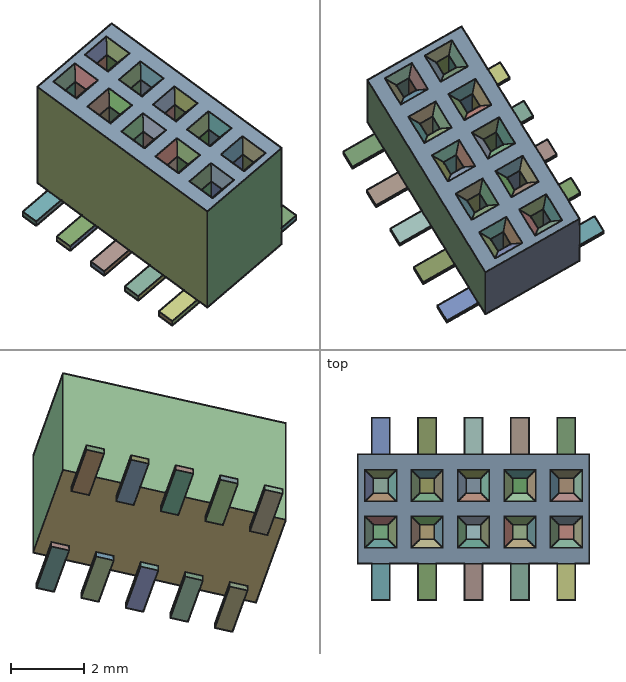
import cadquery as cq


housing_length = 6.35
housing_width = 3.0
overall_height = 4.5

columns = 5
rows = 2
pitch = 1.27

socket_mouth = 0.865
socket_hole = 0.4
funnel_depth = 0.4
hole_depth = 2.54

lead_span = 5.0
lead_length = 1.5
lead_width = 0.5
lead_thickness = 0.205


def build_housing():
    """Plain block standing on top of the leads."""
    return (
        cq.Workplane("XY")
        .workplane(offset=lead_thickness)
        .rect(housing_length, housing_width)
        .extrude(overall_height - lead_thickness)
    )


def build_sockets():
    """Cutters for every socket on the contact grid."""
    funnel = (
        cq.Workplane("XY")
        .rect(socket_mouth, socket_mouth)
        .workplane(offset=-funnel_depth)
        .rect(socket_hole, socket_hole)
        .loft(ruled=True)
    )
    hole = (
        cq.Workplane("XY")
        .workplane(offset=-funnel_depth)
        .rect(socket_hole, socket_hole)
        .extrude(-hole_depth)
    )
    socket = funnel.union(hole).val()
    return (
        cq.Workplane("XY")
        .workplane(offset=overall_height)
        .rarray(pitch, pitch, columns, rows)
        .eachpoint(lambda place: socket.moved(place), combine=False)
    )


def build_leads():
    """Flat leads along both long sides, with their inner ends under the housing."""
    row_spacing = lead_span - lead_length
    return (
        cq.Workplane("XY")
        .rarray(pitch, row_spacing, columns, rows)
        .rect(lead_width, lead_length)
        .extrude(lead_thickness)
    )


result = build_housing().cut(build_sockets()).union(build_leads())